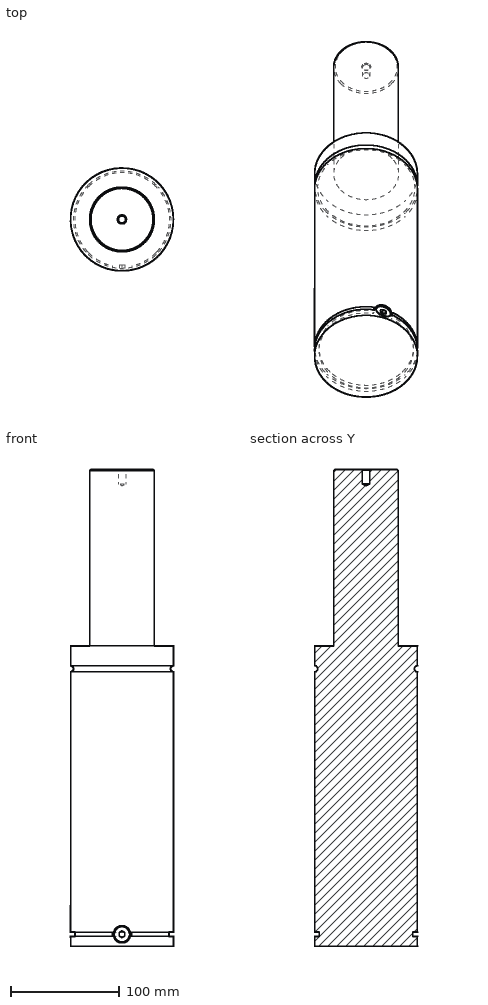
import cadquery as cq

total_height = 440.0
body_diameter = 95.0
body_height = 277.0
rod_diameter = 60.0
rod_chamfer = 1.5

base_groove_bottom = 9.2
base_groove_width = 4.0
base_groove_depth = 4.0

collar_height = 21.0
collar_groove_radius = 2.5

rod_hole_diameter = 6.5
rod_hole_mouth_diameter = 8.5
rod_hole_depth = 13.0
drill_tip_height = 1.8

port_boss_diameter = 18.0
port_mouth_diameter = 16.0
port_floor_diameter = 14.0
port_depth = 1.5
port_boss_length = 13.0
socket_corner_diameter = 6.0
socket_depth = 4.5

body_radius = body_diameter / 2
port_height = base_groove_bottom + base_groove_width / 2


def make_body():
    """Cylinder body with its two ring grooves."""
    body = cq.Workplane("XY").circle(body_radius).extrude(body_height)
    base_groove = (
        cq.Workplane("XY", origin=(0, 0, base_groove_bottom))
        .circle(body_radius + base_groove_depth)
        .circle(body_radius - base_groove_depth)
        .extrude(base_groove_width)
    )
    collar_groove = cq.Workplane(
        cq.Solid.makeTorus(
            body_radius,
            collar_groove_radius,
            cq.Vector(0, 0, body_height - collar_height),
        )
    )
    return body.cut(base_groove).cut(collar_groove)


def make_rod():
    """Piston rod with a chamfered end."""
    return (
        cq.Workplane("XY", origin=(0, 0, body_height))
        .circle(rod_diameter / 2)
        .extrude(total_height - body_height)
        .faces(">Z")
        .chamfer(rod_chamfer)
    )


def make_rod_hole():
    """Blind hole with a countersunk mouth and a conical drill tip."""
    hole_radius = rod_hole_diameter / 2
    mouth_radius = rod_hole_mouth_diameter / 2
    countersink_depth = mouth_radius - hole_radius
    hole_bottom = total_height - rod_hole_depth
    return (
        cq.Workplane("XZ")
        .moveTo(0, hole_bottom - drill_tip_height)
        .lineTo(hole_radius, hole_bottom)
        .lineTo(hole_radius, total_height - countersink_depth)
        .lineTo(mouth_radius, total_height)
        .lineTo(0, total_height)
        .close()
        .revolve(360, (0, 0, 0), (0, 1, 0))
    )


def port_workplane(distance):
    """Plane facing -Y on the port axis, at a distance from the body axis."""
    return cq.Workplane("XZ", origin=(0, -distance, port_height))


def add_port(part):
    """Fill the groove locally, then cut a recess with a tapered edge and a hexagon socket."""
    boss = (
        port_workplane(body_radius)
        .circle(port_boss_diameter / 2)
        .extrude(-port_boss_length)
        .intersect(cq.Workplane("XY").circle(body_radius).extrude(body_height))
    )
    recess = (
        port_workplane(body_radius)
        .circle(port_mouth_diameter / 2)
        .extrude(-port_depth)
        .faces(">Y")
        .chamfer((port_mouth_diameter - port_floor_diameter) / 2)
    )
    socket = (
        port_workplane(body_radius - port_depth)
        .transformed(rotate=(0, 0, 90))
        .polygon(6, socket_corner_diameter)
        .extrude(-socket_depth)
    )
    return part.union(boss).cut(recess).cut(socket)


cylinder = make_body().union(make_rod()).cut(make_rod_hole())
result = add_port(cylinder)